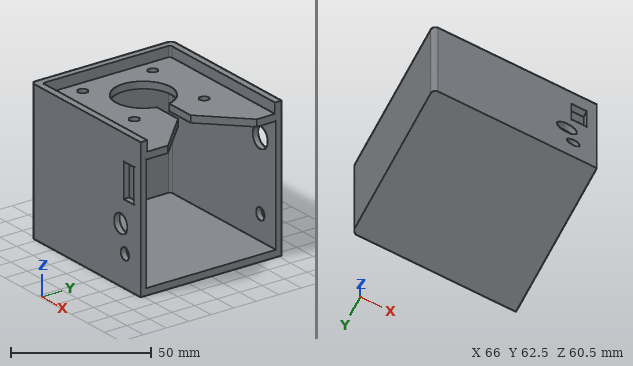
import cadquery as cq

length = 66.0
width = 62.5
height = 60.5
rim_wall = 3.0
wall = 2.5
outer_corner_radius = 2.0
inner_corner_radius = 1.0

rim_height = 4.4
plate_thickness = 3.0
floor_thickness = 3.0
plate_top = height - rim_height
plate_bottom = plate_top - plate_thickness

motor_x = 24.5
motor_y = 0.5
motor_opening_diameter = 24.0
screw_spacing = 31.0
rear_screw_diameter = 3.8
front_screw_diameter = 4.0
slot_width = 5.55
slot_end_x = 49.1

window_x = 58.8
window_z = 42.05
window_length = 6.3
window_height = 14.65
socket_x = 53.9
socket_z = 24.55
socket_diameter = 8.0
cable_x = 56.5
cable_z = 13.6
cable_diameter = 5.0
rear_port_x = 56.4
rear_port_z = 43.4
rear_port_diameter = 8.9


def make_cavity(bottom, top, wall_thickness):
    """Inner space between two heights, open at the +X end."""
    return (
        cq.Workplane("XY", origin=(wall_thickness, 0, bottom))
        .rect(length, width - 2 * wall_thickness)
        .extrude(top - bottom)
        .translate((length / 2, 0, 0))
        .edges("|Z and <X")
        .fillet(inner_corner_radius)
    )


def make_housing():
    """Walls, floor and recessed plate before the openings are cut."""
    block = (
        cq.Workplane("XY")
        .box(length, width, height, centered=(False, True, False))
        .edges("|Z and <X")
        .fillet(outer_corner_radius)
    )
    lower_cavity = make_cavity(floor_thickness, plate_bottom, wall)
    upper_recess = make_cavity(plate_top, height, rim_wall)
    return block.cut(lower_cavity).cut(upper_recess)


def make_keyhole():
    """Round motor opening with a slot that flares at 45 degrees to the +X end."""
    half_slot = slot_width / 2
    half_mouth = half_slot + length - slot_end_x
    plane = cq.Workplane("XY", origin=(0, motor_y, plate_bottom))
    opening = (
        plane.center(motor_x, 0)
        .circle(motor_opening_diameter / 2)
        .extrude(plate_thickness)
    )
    slot = (
        plane.moveTo(motor_x, -half_slot)
        .lineTo(slot_end_x, -half_slot)
        .lineTo(length, -half_mouth)
        .lineTo(length, half_mouth)
        .lineTo(slot_end_x, half_slot)
        .lineTo(motor_x, half_slot)
        .close()
        .extrude(plate_thickness)
    )
    return opening.union(slot)


def make_screw_pair(side, diameter):
    """Two screw holes on one Y side (+1 or -1) of the motor opening."""
    half_spacing = screw_spacing / 2
    return (
        cq.Workplane("XY", origin=(motor_x, motor_y, plate_bottom))
        .pushPoints([(x, side * half_spacing) for x in (-half_spacing, half_spacing)])
        .circle(diameter / 2)
        .extrude(plate_thickness)
    )


def make_side_hole(x, z, diameter, start_y, depth):
    """Round hole running toward +Y from start_y."""
    return (
        cq.Workplane("XZ", origin=(x, start_y, z))
        .circle(diameter / 2)
        .extrude(-depth)
    )


front_y = -width / 2
rear_wall_y = width / 2 - wall
window = cq.Workplane("XY", origin=(window_x, front_y + wall / 2, window_z)).box(
    window_length, wall, window_height
)

result = (
    make_housing()
    .cut(make_keyhole())
    .cut(make_screw_pair(1, rear_screw_diameter))
    .cut(make_screw_pair(-1, front_screw_diameter))
    .cut(window)
    .cut(make_side_hole(socket_x, socket_z, socket_diameter, front_y, wall))
    .cut(make_side_hole(cable_x, cable_z, cable_diameter, front_y, width))
    .cut(make_side_hole(rear_port_x, rear_port_z, rear_port_diameter, rear_wall_y, wall))
)